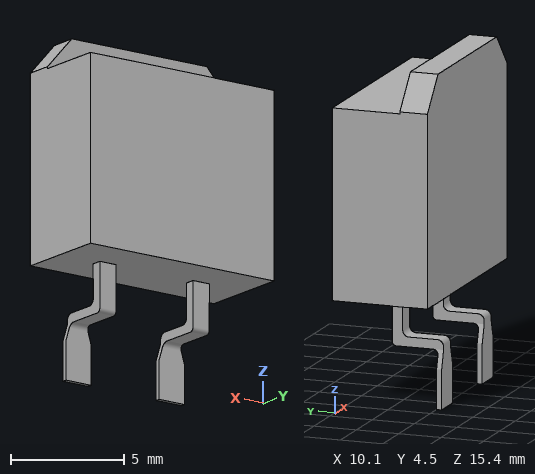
import cadquery as cq

BODY_WIDTH = 10.1
BODY_DEPTH = 4.5
BODY_BOTTOM = 5.0
TOTAL_HEIGHT = 15.39

TAB_DEPTH = 1.3
TAB_RISE = 1.61
CORNER_WIDTH = 1.34
CORNER_HEIGHT = 1.52

LEAD_PITCH = 5.12
LEAD_WIDTH = 0.9
LEAD_THICKNESS = 0.5
LEAD_FRONT = 1.93
SHELF_BOTTOM = 2.67
SHELF_THICKNESS = 0.46
FOOT_WIDTH = 1.4
FOOT_THICKNESS = 0.25
FOOT_TAPER_BOTTOM = 1.83
UPPER_BEND_INNER_RADIUS = 0.3
UPPER_BEND_OUTER_RADIUS = 0.2
LOWER_BEND_INNER_RADIUS = 0.25
LOWER_BEND_OUTER_RADIUS = 0.3

block_top = TOTAL_HEIGHT - TAB_RISE
shelf_top = SHELF_BOTTOM + SHELF_THICKNESS
lead_back = LEAD_FRONT + LEAD_THICKNESS


def box_between(width, depth, bottom, top):
    """Box centred on X, with its front face at Y = 0."""
    return cq.Workplane("XY", origin=(0, depth / 2, bottom)).box(
        width, depth, top - bottom, centered=(True, True, False)
    )


def make_body():
    """Block with a thin front tab whose two upper corners are cut off."""
    block = box_between(BODY_WIDTH, BODY_DEPTH, BODY_BOTTOM, block_top)
    tab = box_between(BODY_WIDTH, TAB_DEPTH, BODY_BOTTOM, TOTAL_HEIGHT)
    half_width = BODY_WIDTH / 2
    for side in (-1, 1):
        corner = (
            cq.Workplane("XZ")
            .moveTo(side * half_width, TOTAL_HEIGHT)
            .lineTo(side * (half_width - CORNER_WIDTH), TOTAL_HEIGHT)
            .lineTo(side * half_width, TOTAL_HEIGHT - CORNER_HEIGHT)
            .close()
            .extrude(-TAB_DEPTH)
        )
        tab = tab.cut(corner)
    return block.union(tab)


def round_bend(bar, y, z, radius):
    """Round the edge along X that passes through (y, z)."""
    return bar.edges(cq.selectors.NearestToPointSelector((0, y, z))).fillet(radius)


def make_lead():
    """Z-bent lead centred on X = 0: a narrow bar that widens to a thin foot."""
    bar = (
        cq.Workplane("YZ")
        .moveTo(0, 0)
        .lineTo(FOOT_THICKNESS, 0)
        .lineTo(FOOT_THICKNESS, SHELF_BOTTOM)
        .lineTo(lead_back, SHELF_BOTTOM)
        .lineTo(lead_back, BODY_BOTTOM)
        .lineTo(LEAD_FRONT, BODY_BOTTOM)
        .lineTo(LEAD_FRONT, shelf_top)
        .lineTo(0, shelf_top)
        .close()
        .extrude(FOOT_WIDTH / 2, both=True)
    )
    bar = round_bend(bar, LEAD_FRONT, shelf_top, UPPER_BEND_INNER_RADIUS)
    bar = round_bend(bar, lead_back, SHELF_BOTTOM, UPPER_BEND_OUTER_RADIUS)
    bar = round_bend(bar, FOOT_THICKNESS, SHELF_BOTTOM, LOWER_BEND_INNER_RADIUS)
    bar = round_bend(bar, 0, shelf_top, LOWER_BEND_OUTER_RADIUS)

    outline = (
        cq.Workplane("XZ")
        .moveTo(-FOOT_WIDTH / 2, 0)
        .lineTo(FOOT_WIDTH / 2, 0)
        .lineTo(FOOT_WIDTH / 2, FOOT_TAPER_BOTTOM)
        .lineTo(LEAD_WIDTH / 2, SHELF_BOTTOM)
        .lineTo(LEAD_WIDTH / 2, BODY_BOTTOM)
        .lineTo(-LEAD_WIDTH / 2, BODY_BOTTOM)
        .lineTo(-LEAD_WIDTH / 2, SHELF_BOTTOM)
        .lineTo(-FOOT_WIDTH / 2, FOOT_TAPER_BOTTOM)
        .close()
        .extrude(-lead_back)
    )
    return bar.intersect(outline)


result = make_body()
for lead_x in (-LEAD_PITCH / 2, LEAD_PITCH / 2):
    result = result.union(make_lead().translate((lead_x, 0, 0)))